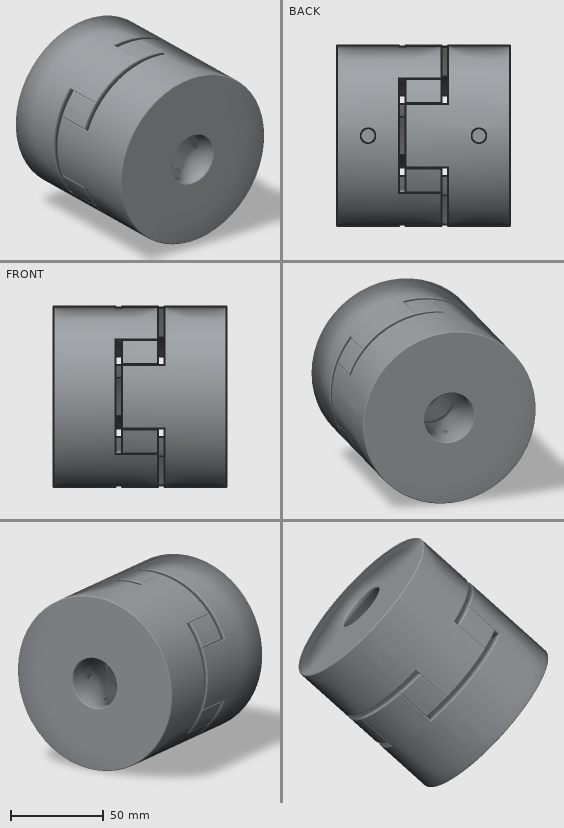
import cadquery as cq
import math

outer_radius = 49.0
bore_radius = 14.0
hub_length = 34.0
spider_width = 20.0
face_gap = 3.0
edge_chamfer = 0.4
pad_chamfer = 0.5

jaw_count = 3
jaw_inner_radius = 32.8
jaw_outer_half_width = 17.5
jaw_inner_half_width = 10.4
jaw_side_radius = 38.0

screw_diameter = 8.0
screw_sides = [(0, 1, 0), (0, 0, -1)]

jaw_length = face_gap + spider_width
spider_half_width = spider_width / 2
hub_inner_face = spider_half_width + face_gap
hub_end_face = hub_inner_face + hub_length
screw_offset = hub_inner_face + hub_length / 2
screw_length = outer_radius - bore_radius
jaw_pitch = 360 / jaw_count
left_jaw_start = 0
right_jaw_start = jaw_pitch / 2
jaw_outer_reach = math.sqrt(outer_radius**2 - jaw_outer_half_width**2)
jaw_inner_reach = math.sqrt(jaw_inner_radius**2 - jaw_inner_half_width**2)

inner_circles = cq.selectors.RadiusNthSelector(0)
outer_circles = cq.selectors.RadiusNthSelector(-1)


def ring(start_x, length):
    """Bored disc extruded along +X from start_x."""
    return (
        cq.Workplane("YZ", origin=(start_x, 0, 0))
        .circle(outer_radius)
        .circle(bore_radius)
        .extrude(length)
    )


def plain_jaw(start_x, length):
    """One sharp-edged jaw on the +Y side, extruded along +X from start_x."""
    return (
        cq.Workplane("YZ", origin=(start_x, 0, 0))
        .moveTo(jaw_inner_reach, -jaw_inner_half_width)
        .radiusArc((jaw_outer_reach, -jaw_outer_half_width), jaw_side_radius)
        .threePointArc((outer_radius, 0), (jaw_outer_reach, jaw_outer_half_width))
        .radiusArc((jaw_inner_reach, jaw_inner_half_width), jaw_side_radius)
        .threePointArc((jaw_inner_radius, 0), (jaw_inner_reach, -jaw_inner_half_width))
        .close()
        .extrude(length)
    )


def jaw_copies(jaw, start_angle):
    """Copies of a jaw spaced evenly around the axis."""
    return [
        jaw.rotate((0, 0, 0), (1, 0, 0), start_angle + index * jaw_pitch)
        for index in range(jaw_count)
    ]


def screw_plane(side, direction):
    """Plane on the hub axis, facing along one set screw."""
    return cq.Plane(origin=(side * screw_offset, 0, 0), xDir=(1, 0, 0), normal=direction)


def hub(side, start_angle):
    """Bored disc with jaws reaching towards the middle; side is -1 for left, +1 for right."""
    tip_x = side * (hub_inner_face - jaw_length)
    root_x = side * (hub_inner_face + edge_chamfer)
    tip_face = ">X" if side < 0 else "<X"
    end_face = "<X" if side < 0 else ">X"

    body = ring(min(side * hub_inner_face, side * hub_end_face), hub_length)
    body = body.edges("%CIRCLE").edges(outer_circles).chamfer(edge_chamfer)
    body = body.faces(end_face).edges(inner_circles).chamfer(edge_chamfer)

    jaw = plain_jaw(min(tip_x, root_x), abs(root_x - tip_x))
    jaw = jaw.faces(">Y").edges("|X").add(jaw.faces(">Y").edges(tip_face)).chamfer(edge_chamfer)
    for copy in jaw_copies(jaw, start_angle):
        body = body.union(copy)

    for direction in screw_sides:
        hole = cq.Workplane(screw_plane(side, direction)).circle(screw_diameter / 2).extrude(outer_radius)
        body = body.cut(hole)
    return body


def spider():
    """Ring with six pads that fill the spaces between the jaws of both hubs."""
    body = ring(-spider_half_width, spider_width)
    jaw = plain_jaw(-spider_half_width, spider_width)
    for start_angle in (left_jaw_start, right_jaw_start):
        for copy in jaw_copies(jaw, start_angle):
            body = body.cut(copy)

    def is_pad_edge(edge):
        point = edge.positionAt(0.5)
        return math.hypot(point.y, point.z) > outer_radius - pad_chamfer

    return body.edges().filter(is_pad_edge).chamfer(pad_chamfer)


def set_screw(side, direction):
    """Plain set screw running from the bore to the outside of the hub."""
    return (
        cq.Workplane(screw_plane(side, direction))
        .workplane(offset=bore_radius)
        .circle(screw_diameter / 2)
        .extrude(screw_length)
    )


left_hub = hub(-1, left_jaw_start)
right_hub = hub(1, right_jaw_start)
pad_spider = spider()
set_screws = [set_screw(side, direction).val() for side in (-1, 1) for direction in screw_sides]

result = cq.Compound.makeCompound([left_hub.val(), right_hub.val(), pad_spider.val(), *set_screws])